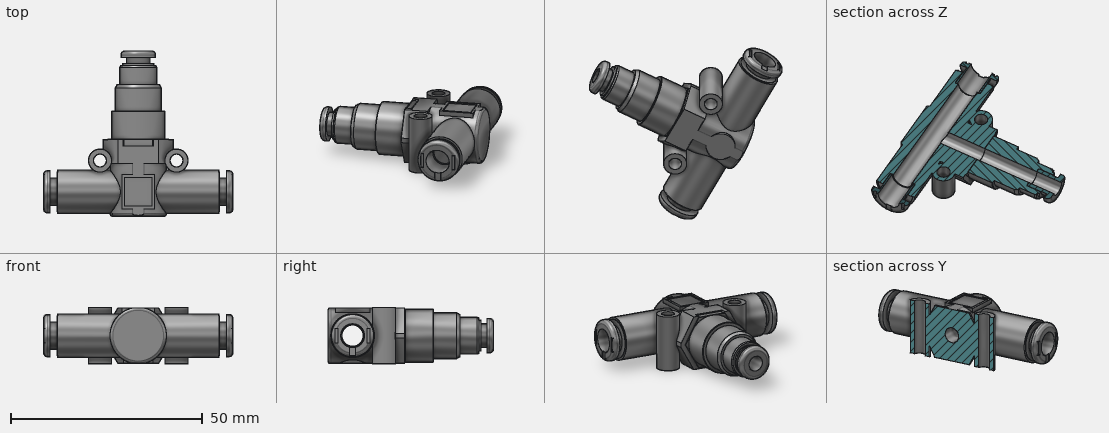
import cadquery as cq
import math


barrel_radius = 7.35
barrel_front_y = -6.4
barrel_front_fillet = 0.75
flat_z = 7.2

tube_diameter = 11.4
tube_end_x = 21.2
tube_end_step = 0.15
tube_end_diameter = 10.3
run_bore_diameter = 5.55

panel_width = 8.55
panel_length = 9.0
recess_width = 7.1
recess_length = 7.5
recess_depth = 0.3

pad_diameter = 7.6

block_front_y = 7.4
block_back_y = 13.6
block_half_width = 9.15
block_flat_half_width = 5.35
block_side_angle = 60

seat_across_flats = 13.75
seat_y = 13.8

notch_length = 1.8
notch_half_width = 3.95
notch_floor_half_width = 3.65
notch_depth = 0.3

eye_x = 10.0
eye_y = 8.15
eye_diameter = 6.05
eye_hole_diameter = 3.3
eye_height = 14.7

run_tip_x = 24.7
run_cap_diameter = 11.0
run_cap_length = 1.75
run_cap_rounding = 1.0
run_neck_diameter = 7.2
run_sleeve_length = 7.4
run_sleeve_bore = 6.2
key_slot_width = 1.6
key_slot_depth = 0.3
grip_inner_y = 3.8
grip_outer_y = 4.55
grip_height = 3.8
grip_depth = 0.4

base_end_y = 21.1
base_diameter = 13.9
base_chamfer = 0.15
middle_end_y = 28.0
middle_diameter = 12.05
middle_end_diameter = 11.0
middle_taper_length = 0.95
upper_end_y = 32.9
upper_diameter = 9.7
upper_chamfer_radial = 0.2
upper_chamfer_length = 0.45
collar_end_y = 33.5
collar_diameter = 8.1

branch_tip_y = 36.75
branch_cap_diameter = 9.0
branch_cap_length = 1.75
branch_cap_rounding = 1.05
branch_neck_diameter = 6.2
branch_sleeve_length = 7.4
branch_bore_diameter = 4.0


def cylinder_x(diameter, x_start, x_end):
    return cq.Workplane("YZ", origin=(x_start, 0, 0)).circle(diameter / 2).extrude(x_end - x_start)


def cylinder_y(diameter, y_start, y_end):
    return cq.Workplane("XZ", origin=(0, y_start, 0)).circle(diameter / 2).extrude(y_start - y_end)


def box_between(x_range, y_range, z_range):
    size = [end - start for start, end in (x_range, y_range, z_range)]
    return cq.Workplane("XY").box(*size, centered=False).translate((x_range[0], y_range[0], z_range[0]))


def make_barrel():
    barrel = cylinder_y(2 * barrel_radius, barrel_front_y, block_back_y)
    barrel = barrel.faces("<Y").edges().fillet(barrel_front_fillet)
    between_flats = box_between(
        (-barrel_radius, barrel_radius), (barrel_front_y, block_back_y), (-flat_z, flat_z))
    return barrel.intersect(between_flats)


def make_run_tubes():
    shoulder_x = tube_end_x - tube_end_step
    tubes = cylinder_x(tube_diameter, -shoulder_x, shoulder_x)
    return tubes.union(cylinder_x(tube_end_diameter, -tube_end_x, tube_end_x))


def make_panel():
    return box_between(
        (-panel_width / 2, panel_width / 2), (-panel_length / 2, panel_length / 2), (0, flat_z))


def make_panel_recess():
    return box_between(
        (-recess_width / 2, recess_width / 2), (-recess_length / 2, recess_length / 2),
        (flat_z - recess_depth, flat_z))


def make_pad():
    return cq.Workplane("XY").circle(pad_diameter / 2).extrude(-flat_z)


def make_block():
    slope = math.tan(math.radians(block_side_angle))
    shoulder_z = flat_z - (block_half_width - block_flat_half_width) * slope
    outline = [
        (block_flat_half_width, flat_z),
        (block_half_width, shoulder_z),
        (block_half_width, -shoulder_z),
        (block_flat_half_width, -flat_z),
        (-block_flat_half_width, -flat_z),
        (-block_half_width, -shoulder_z),
        (-block_half_width, shoulder_z),
        (-block_flat_half_width, flat_z),
    ]
    block = cq.Workplane("XZ", origin=(0, block_front_y, 0)).polyline(outline).close()
    return block.extrude(block_front_y - block_back_y)


def make_seat():
    corner_diameter = seat_across_flats / math.cos(math.radians(30))
    seat = cq.Workplane("XZ", origin=(0, block_back_y, 0)).polygon(6, corner_diameter)
    return seat.extrude(block_back_y - seat_y)


def make_notch():
    notch_outline = [
        (-notch_half_width, flat_z),
        (notch_half_width, flat_z),
        (notch_floor_half_width, flat_z - notch_depth),
        (-notch_floor_half_width, flat_z - notch_depth),
    ]
    notch = cq.Workplane("XZ", origin=(0, seat_y, 0)).polyline(notch_outline).close()
    return notch.extrude(notch_length)


def make_eyes(diameter):
    eyes = cq.Workplane("XY", origin=(0, 0, -eye_height / 2))
    return eyes.pushPoints([(-eye_x, eye_y), (eye_x, eye_y)]).circle(diameter / 2).extrude(eye_height)


def make_housing():
    housing = make_barrel().union(make_run_tubes()).union(make_panel()).union(make_pad())
    housing = housing.union(make_block()).union(make_seat()).cut(make_notch())
    housing = housing.union(make_eyes(eye_diameter)).cut(make_eyes(eye_hole_diameter))
    housing = housing.cut(make_panel_recess())
    housing = housing.cut(cylinder_x(run_bore_diameter, -tube_end_x, tube_end_x))
    sleeve_root_x = run_tip_x - run_sleeve_length
    for side in (-1, 1):
        housing = housing.cut(cylinder_x(run_neck_diameter, side * sleeve_root_x, side * tube_end_x))
    return housing.cut(cylinder_y(branch_bore_diameter, 0, seat_y))


def make_run_sleeve(side):
    cap_back_x = run_tip_x - run_cap_length
    cap = cylinder_x(run_cap_diameter, cap_back_x, run_tip_x)
    cap = cap.faces(">X").edges().fillet(run_cap_rounding)
    sleeve = cap.union(cylinder_x(run_neck_diameter, run_tip_x - run_sleeve_length, cap_back_x))
    sleeve = sleeve.cut(cylinder_x(run_sleeve_bore, 0, run_tip_x))
    key_slot = box_between((run_tip_x - key_slot_depth, run_tip_x),
                           (-key_slot_width / 2, key_slot_width / 2), (-run_cap_diameter, 0))
    sleeve = sleeve.cut(key_slot)
    for y_range in ((-grip_outer_y, -grip_inner_y), (grip_inner_y, grip_outer_y)):
        sleeve = sleeve.cut(box_between((run_tip_x - grip_depth, run_tip_x), y_range,
                                        (-grip_height / 2, grip_height / 2)))
    return sleeve if side > 0 else sleeve.mirror("YZ")


def make_cartridge():
    profile = [
        (branch_bore_diameter / 2, seat_y),
        (base_diameter / 2, seat_y),
        (base_diameter / 2, base_end_y - base_chamfer),
        (base_diameter / 2 - base_chamfer, base_end_y),
        (middle_diameter / 2, base_end_y),
        (middle_diameter / 2, middle_end_y - middle_taper_length),
        (middle_end_diameter / 2, middle_end_y),
        (upper_diameter / 2, middle_end_y),
        (upper_diameter / 2, upper_end_y - upper_chamfer_length),
        (upper_diameter / 2 - upper_chamfer_radial, upper_end_y),
        (collar_diameter / 2, upper_end_y),
        (collar_diameter / 2, collar_end_y),
        (branch_bore_diameter / 2, collar_end_y),
    ]
    cartridge = cq.Workplane("XY").polyline(profile).close().revolve(360, (0, 0, 0), (0, 1, 0))
    return cartridge.cut(cylinder_y(branch_neck_diameter, branch_tip_y - branch_sleeve_length, branch_tip_y))


def make_branch_sleeve():
    cap_back_y = branch_tip_y - branch_cap_length
    cap = cylinder_y(branch_cap_diameter, cap_back_y, branch_tip_y)
    cap = cap.faces(">Y").edges().fillet(branch_cap_rounding)
    sleeve = cap.union(cylinder_y(branch_neck_diameter, branch_tip_y - branch_sleeve_length, cap_back_y))
    return sleeve.cut(cylinder_y(branch_bore_diameter, 0, branch_tip_y))


housing = make_housing()
run_sleeves = [make_run_sleeve(side) for side in (-1, 1)]
cartridge = make_cartridge()
branch_sleeve = make_branch_sleeve()

result = cq.Compound.makeCompound([
    housing.val(),
    *[sleeve.val() for sleeve in run_sleeves],
    cartridge.val(),
    branch_sleeve.val(),
])